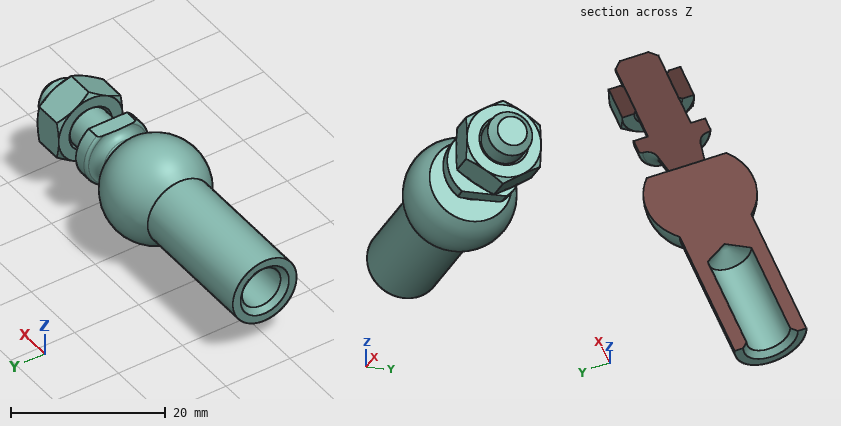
import cadquery as cq
import math

total_length = 48.5
thread_diameter = 6.0
thread_radius = thread_diameter / 2

shank_radius = 10.0 / 2
ball_diameter = 14.8
ball_radius = ball_diameter / 2
ball_center_x = 25.0
socket_face_x = 29.9
bore_depth = 14.55
bore_mouth_radius = 3.8
drill_point_angle = 118.0

neck_end_radius = 2.5
neck_wide_x = 32.5
flange_start_x = 33.75
flange_edge_x = 34.2
flange_end_x = 36.0
flange_radius = shank_radius
flange_edge_round = flange_edge_x - flange_start_x
flange_across_flats = 8.0
tip_chamfer = 1.0

nut_start_x = 39.9
nut_thickness = 4.9
nut_across_flats = 10.0
nut_half_side_angle = 30.0
nut_chamfer_angle = 30.0
nut_countersink = 0.35


def revolve_about_x(profile):
    """Revolve a closed XY outline a full turn about the X axis."""
    return profile.close().revolve(360, (0, 0, 0), (1, 0, 0))


def make_housing():
    shank_end_x = ball_center_x - math.sqrt(ball_radius**2 - shank_radius**2)
    socket_face_radius = math.sqrt(ball_radius**2 - (socket_face_x - ball_center_x) ** 2)
    body = revolve_about_x(
        cq.Workplane("XY")
        .lineTo(0, shank_radius)
        .lineTo(shank_end_x, shank_radius)
        .threePointArc((ball_center_x, ball_radius), (socket_face_x, socket_face_radius))
        .lineTo(socket_face_x, 0)
    )

    drill_point_length = thread_radius / math.tan(math.radians(drill_point_angle / 2))
    bore = revolve_about_x(
        cq.Workplane("XY")
        .lineTo(0, bore_mouth_radius)
        .lineTo(bore_mouth_radius - thread_radius, thread_radius)
        .lineTo(bore_depth, thread_radius)
        .lineTo(bore_depth + drill_point_length, 0)
    )
    return body.cut(bore)


def make_stud():
    rim_inner_radius = flange_radius - flange_edge_round
    rim_diagonal = flange_edge_round * math.sqrt(0.5)
    stud = revolve_about_x(
        cq.Workplane("XY")
        .moveTo(socket_face_x, 0)
        .lineTo(socket_face_x, neck_end_radius)
        .lineTo(neck_wide_x, thread_radius)
        .tangentArcPoint((flange_start_x, rim_inner_radius), relative=False)
        .threePointArc(
            (flange_edge_x - rim_diagonal, rim_inner_radius + rim_diagonal),
            (flange_edge_x, flange_radius),
        )
        .lineTo(flange_end_x, flange_radius)
        .lineTo(flange_end_x, thread_radius)
        .lineTo(total_length - tip_chamfer, thread_radius)
        .lineTo(total_length, thread_radius - tip_chamfer)
        .lineTo(total_length, 0)
    )

    flats_envelope = cq.Workplane("XY").box(
        total_length, 2 * flange_radius, flange_across_flats, centered=(False, True, True)
    )
    return stud.intersect(flats_envelope)


def make_nut():
    corner_radius = nut_across_flats / 2 / math.cos(math.radians(nut_half_side_angle))
    face_radius = nut_across_flats / 2
    chamfer_length = (corner_radius - face_radius) * math.tan(math.radians(nut_chamfer_angle))
    nut_end_x = nut_start_x + nut_thickness

    hexagon = (
        cq.Workplane("YZ", origin=(nut_start_x, 0, 0))
        .transformed(rotate=(0, 0, nut_half_side_angle))
        .polygon(6, 2 * corner_radius)
        .extrude(nut_thickness)
    )
    chamfer_envelope = revolve_about_x(
        cq.Workplane("XY")
        .moveTo(nut_start_x, 0)
        .lineTo(nut_start_x, face_radius)
        .lineTo(nut_start_x + chamfer_length, corner_radius)
        .lineTo(nut_end_x - chamfer_length, corner_radius)
        .lineTo(nut_end_x, face_radius)
        .lineTo(nut_end_x, 0)
    )

    countersink_radius = thread_radius + nut_countersink
    thread_hole = revolve_about_x(
        cq.Workplane("XY")
        .moveTo(nut_start_x, 0)
        .lineTo(nut_start_x, countersink_radius)
        .lineTo(nut_start_x + nut_countersink, thread_radius)
        .lineTo(nut_end_x - nut_countersink, thread_radius)
        .lineTo(nut_end_x, countersink_radius)
        .lineTo(nut_end_x, 0)
    )
    return hexagon.intersect(chamfer_envelope).cut(thread_hole)


housing = make_housing()
stud = make_stud()
nut = make_nut()

result = cq.Compound.makeCompound([housing.val(), stud.val(), nut.val()])